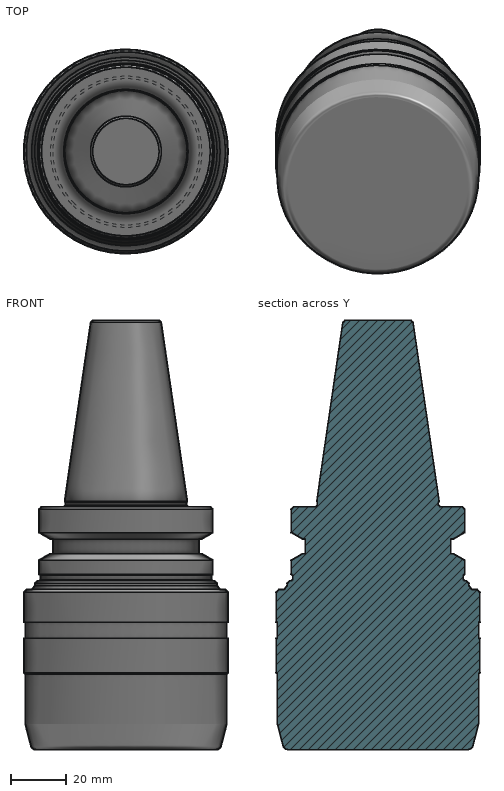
import cadquery as cq
import math


GAUGE_RADIUS = 44.45 / 2
TAPER_RADIUS_PER_LENGTH = 7 / 48
SHANK_LENGTH = 65.4
SHANK_END_CHAMFER = 0.8
RELIEF_RADIUS = 22.0
RELIEF_TOP_Z = -0.5
RELIEF_CHAMFER = 0.5

FLANGE_RADIUS = 63 / 2
FLANGE_TOP_Z = -2.0
FLANGE_BOTTOM_Z = -26.5
FLANGE_CHAMFER = 1.0
GROOVE_CENTRE_Z = -16.4
GROOVE_MOUTH_WIDTH = 10.0
GROOVE_FLOOR_RADIUS = 53 / 2
GROOVE_FLANK_INNER_RADIUS = 27.4
GROOVE_FLANK_ANGLE = 30.0

NECK_RADIUS = 31.0
NECK_BOTTOM_Z = -28.8
NECK_CHAMFER = 0.4
COLLAR_RADIUS = 33.0
COLLAR_CHAMFER = 1.0
COLLAR_BOTTOM_Z = -30.6
COLLAR_FOOT_RADIUS = 34.1

BODY_RADIUS = 74 / 2
BODY_TOP_Z = -32.0
BODY_CHAMFER = 1.0
RECESS_RADIUS = 36.5
RECESS_TOP_Z = -43.8
RECESS_BOTTOM_Z = -49.7
BODY_BOTTOM_Z = -62.1
BODY_LOWER_CHAMFER = 0.5

NUT_RADIUS = RECESS_RADIUS
NUT_TAPER_TOP_Z = -80.7
NUT_END_Z = -90.0
NUT_TAPER_BOTTOM_RADIUS = 34.1
NUT_END_ROUND = 2.0


def shank_points():
    """Shank outline from the axis at the small end down to the flange face."""
    def taper_radius(z):
        return GAUGE_RADIUS - z * TAPER_RADIUS_PER_LENGTH

    shoulder_z = SHANK_LENGTH - SHANK_END_CHAMFER
    return [
        (0, SHANK_LENGTH),
        (taper_radius(shoulder_z) - SHANK_END_CHAMFER, SHANK_LENGTH),
        (taper_radius(shoulder_z), shoulder_z),
        (GAUGE_RADIUS, 0),
        (RELIEF_RADIUS, RELIEF_TOP_Z),
        (RELIEF_RADIUS, FLANGE_TOP_Z + RELIEF_CHAMFER),
        (RELIEF_RADIUS + RELIEF_CHAMFER, FLANGE_TOP_Z),
    ]


def flange_points():
    """Flange outline with its flat-bottomed V gripper groove."""
    flank_height = (FLANGE_RADIUS - GROOVE_FLANK_INNER_RADIUS) * math.tan(math.radians(GROOVE_FLANK_ANGLE))
    mouth_top_z = GROOVE_CENTRE_Z + GROOVE_MOUTH_WIDTH / 2
    mouth_bottom_z = GROOVE_CENTRE_Z - GROOVE_MOUTH_WIDTH / 2
    return [
        (FLANGE_RADIUS - FLANGE_CHAMFER, FLANGE_TOP_Z),
        (FLANGE_RADIUS, FLANGE_TOP_Z - FLANGE_CHAMFER),
        (FLANGE_RADIUS, mouth_top_z),
        (GROOVE_FLANK_INNER_RADIUS, mouth_top_z - flank_height),
        (GROOVE_FLOOR_RADIUS, mouth_top_z - flank_height),
        (GROOVE_FLOOR_RADIUS, mouth_bottom_z + flank_height),
        (GROOVE_FLANK_INNER_RADIUS, mouth_bottom_z + flank_height),
        (FLANGE_RADIUS, mouth_bottom_z),
        (FLANGE_RADIUS, FLANGE_BOTTOM_Z),
    ]


def collar_points():
    """Neck below the flange and the chamfered collar that flares out to the top of the body."""
    return [
        (NECK_RADIUS, FLANGE_BOTTOM_Z - NECK_CHAMFER),
        (NECK_RADIUS, NECK_BOTTOM_Z + NECK_CHAMFER),
        (NECK_RADIUS + NECK_CHAMFER, NECK_BOTTOM_Z),
        (COLLAR_RADIUS - COLLAR_CHAMFER, NECK_BOTTOM_Z),
        (COLLAR_RADIUS, NECK_BOTTOM_Z - COLLAR_CHAMFER),
        (COLLAR_RADIUS, COLLAR_BOTTOM_Z),
        (COLLAR_FOOT_RADIUS, BODY_TOP_Z),
    ]


def body_points():
    """Chuck body outline with its shallow recessed band and chamfered lower edge."""
    return [
        (BODY_RADIUS - BODY_CHAMFER, BODY_TOP_Z),
        (BODY_RADIUS, BODY_TOP_Z - BODY_CHAMFER),
        (BODY_RADIUS, RECESS_TOP_Z),
        (RECESS_RADIUS, RECESS_TOP_Z),
        (RECESS_RADIUS, RECESS_BOTTOM_Z),
        (BODY_RADIUS, RECESS_BOTTOM_Z),
        (BODY_RADIUS, BODY_BOTTOM_Z),
    ]


def nut_points():
    """Nut outline: a cylinder, then a cone rounded off at the front face by a later fillet."""
    return [
        (NUT_RADIUS, BODY_BOTTOM_Z - BODY_LOWER_CHAMFER),
        (NUT_RADIUS, NUT_TAPER_TOP_Z),
        (NUT_TAPER_BOTTOM_RADIUS, NUT_END_Z),
        (0, NUT_END_Z),
    ]


outline = shank_points() + flange_points() + collar_points() + body_points() + nut_points()
holder = cq.Workplane("XZ").polyline(outline).close().revolve(360, (0, 0, 0), (0, 1, 0))
result = holder.faces("<Z").edges().fillet(NUT_END_ROUND)